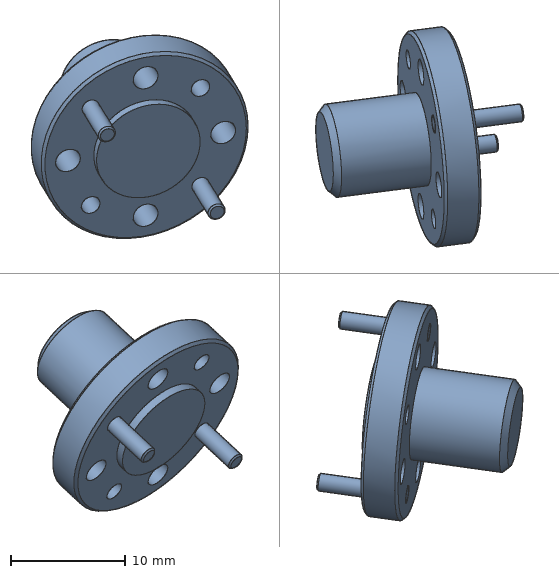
import cadquery as cq
import math

OVERALL_LENGTH = 16.57

FLANGE_DIAMETER = 19.05
FLANGE_THICKNESS = 3.302
FLANGE_CHAMFER = 0.254

SHAFT_DIAMETER = 8.23
SHAFT_LENGTH = 8.636
SHAFT_CHAMFER = 0.61

PILOT_DIAMETER = 9.525
PILOT_HEIGHT = 0.762

BOLT_CIRCLE_DIAMETER = 14.2875
SCREW_HOLE_DIAMETER = 2.27
ALIGNMENT_HOLE_DIAMETER = 1.70
PIN_DIAMETER = 1.5748
PIN_CHAMFER = 0.1524

SCREW_HOLE_ANGLES = (0, 90, 180, 270)
ALIGNMENT_HOLE_ANGLES = (45, 225)
PIN_ANGLES = (135, 315)

PIN_LENGTH = OVERALL_LENGTH - SHAFT_LENGTH


def cylinder_along_x(diameter, start_x, length):
    return cq.Workplane("YZ", origin=(start_x, 0, 0)).circle(diameter / 2).extrude(length)


def bolt_circle_points(angles):
    radius = BOLT_CIRCLE_DIAMETER / 2
    return [
        (radius * math.cos(math.radians(angle)), radius * math.sin(math.radians(angle)))
        for angle in angles
    ]


def flange_holes(diameter, angles):
    return (
        cq.Workplane("YZ")
        .pushPoints(bolt_circle_points(angles))
        .circle(diameter / 2)
        .extrude(FLANGE_THICKNESS)
    )


def make_flange_body():
    """Round flange with a shaft on one face, a low pilot on the other and holes on one circle."""
    disc = cylinder_along_x(FLANGE_DIAMETER, 0, FLANGE_THICKNESS).edges().chamfer(FLANGE_CHAMFER)
    shaft = cylinder_along_x(SHAFT_DIAMETER, -SHAFT_LENGTH, SHAFT_LENGTH)
    shaft = shaft.faces("<X").edges().chamfer(SHAFT_CHAMFER)
    pilot = cylinder_along_x(PILOT_DIAMETER, FLANGE_THICKNESS, PILOT_HEIGHT)
    body = disc.union(shaft).union(pilot)
    body = body.cut(flange_holes(SCREW_HOLE_DIAMETER, SCREW_HOLE_ANGLES))
    body = body.cut(flange_holes(ALIGNMENT_HOLE_DIAMETER, ALIGNMENT_HOLE_ANGLES))
    return body.cut(flange_holes(PIN_DIAMETER, PIN_ANGLES))


def make_pin(y, z):
    """Dowel pin with both ends chamfered, pressed into its flange hole."""
    pin = cylinder_along_x(PIN_DIAMETER, 0, PIN_LENGTH)
    pin = pin.faces("<X or >X").edges().chamfer(PIN_CHAMFER)
    return pin.translate((0, y, z))


flange_body = make_flange_body()
pins = [make_pin(y, z) for y, z in bolt_circle_points(PIN_ANGLES)]

result = cq.Compound.makeCompound([flange_body.val(), *[pin.val() for pin in pins]])